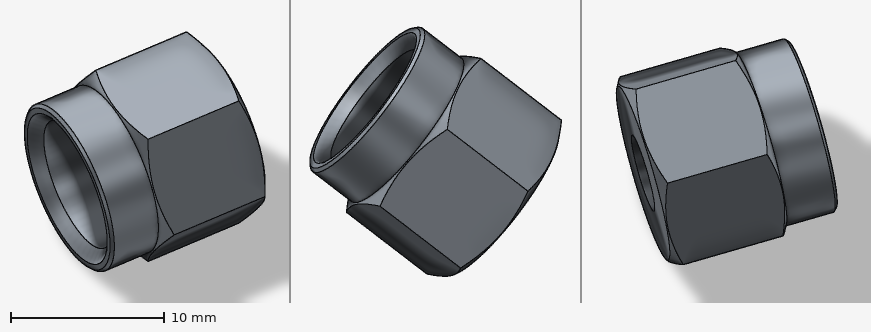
import cadquery as cq
import math

corner_width = 13.86
total_length = 11.5
hex_length = 8.0
collar_diameter = 11.8
collar_chamfer = 0.21
hex_chamfer_diameter = collar_diameter
hex_chamfer_angle = 30.0

mouth_diameter = 10.6
bore_diameter = 9.01
mouth_angle = 45.0
bore_depth = 8.18
seat_angle = 45.0
hole_diameter = 5.15

collar_length = total_length - hex_length


def revolve_profile(points):
    """Revolve (radius, y) points about the Y axis."""
    return cq.Workplane("XY").polyline(points).close().revolve(360, (0, 0, 0), (0, 1, 0))


def make_hexagon():
    """Hexagon with corners on +X and -X, bevelled conically at both ends."""
    prism = (
        cq.Workplane("XZ", origin=(0, collar_length, 0))
        .polygon(6, corner_width)
        .extrude(-hex_length)
    )
    corner_radius = corner_width / 2
    end_radius = hex_chamfer_diameter / 2
    bevel = (corner_radius - end_radius) * math.tan(math.radians(hex_chamfer_angle))
    envelope = revolve_profile([
        (0, collar_length),
        (end_radius, collar_length),
        (corner_radius, collar_length + bevel),
        (corner_radius, total_length - bevel),
        (end_radius, total_length),
        (0, total_length),
    ])
    return prism.intersect(envelope)


def make_collar():
    """Round collar with a small chamfer on its free end."""
    radius = collar_diameter / 2
    return revolve_profile([
        (0, 0),
        (radius - collar_chamfer, 0),
        (radius, collar_chamfer),
        (radius, collar_length),
        (0, collar_length),
    ])


def make_bore():
    """Countersunk mouth, straight bore, conical seat and through hole."""
    mouth_radius = mouth_diameter / 2
    bore_radius = bore_diameter / 2
    hole_radius = hole_diameter / 2
    mouth_depth = (mouth_radius - bore_radius) / math.tan(math.radians(mouth_angle))
    seat_depth = (bore_radius - hole_radius) / math.tan(math.radians(seat_angle))
    return revolve_profile([
        (0, 0),
        (mouth_radius, 0),
        (bore_radius, mouth_depth),
        (bore_radius, bore_depth),
        (hole_radius, bore_depth + seat_depth),
        (hole_radius, total_length),
        (0, total_length),
    ])


result = make_hexagon().union(make_collar()).cut(make_bore())